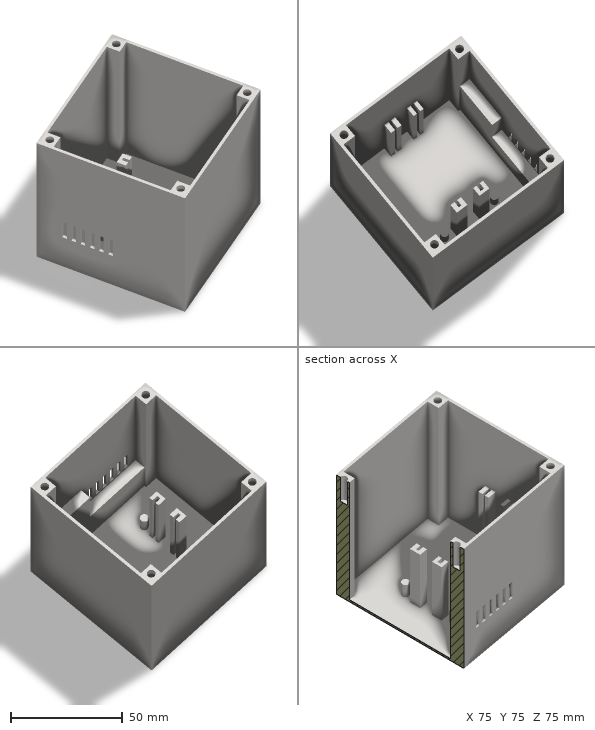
import cadquery as cq

side = 75.0
wall = 1.5
half = side / 2
inner_half = half - wall
floor_top = -inner_half

post_side = 8.0
post_inner = half - post_side
screw_inset = 4.5
screw_diameter = 4.0
screw_depth = 15.0

slot_count = 6
slot_width = 2.3
slot_pitch = 4.65
slot_bottom = -18.3
slot_height = 10.0
first_slot_x = -23.3

holder_top = -2.55
holder_left = -16.9
holder_length = 4.65
holder_back = 1.5
rail_length = 4.9
cards = [(4.6, 6.0, 1.5), (-8.2, 5.6, 1.9)]

ledge_depth = 5.5
ledge_step_x = 6.1
ledge_low_top = -19.6
ledge_high_top = holder_top

pin_diameter = screw_diameter
pin_x = -14.1
pin_centres_y = [12.5, -16.0]
pin_height = 7.5


def block(x_range, y_range, z_range):
    """Box between the given limits along each axis."""
    x_size = x_range[1] - x_range[0]
    y_size = y_range[1] - y_range[0]
    z_size = z_range[1] - z_range[0]
    corner = (x_range[0], y_range[0], z_range[0])
    return cq.Workplane("XY").box(x_size, y_size, z_size, centered=False).translate(corner)


def shell():
    """Outer box with its cavity and corner posts."""
    outer = block((-half, half), (-half, half), (-half, half))
    cavity_height = (floor_top, half)
    cavity_x = block((-inner_half, inner_half), (-post_inner, post_inner), cavity_height)
    cavity_y = block((-post_inner, post_inner), (-inner_half, inner_half), cavity_height)
    return outer.cut(cavity_x).cut(cavity_y)


def screw_holes():
    """Blind holes down from the top of the corner posts."""
    spacing = side - 2 * screw_inset
    return (
        cq.Workplane("XY", origin=(0, 0, half))
        .rect(spacing, spacing, forConstruction=True)
        .vertices()
        .circle(screw_diameter / 2)
        .extrude(-screw_depth)
    )


def vent_slots():
    """Upright slots, cut through the front wall only."""
    slots = cq.Workplane("XY")
    for index in range(slot_count):
        x_centre = first_slot_x + index * slot_pitch
        x_range = (x_centre - slot_width / 2, x_centre + slot_width / 2)
        z_range = (slot_bottom, slot_bottom + slot_height)
        slots = slots.add(block(x_range, (-half, -inner_half), z_range))
    return slots.combine()


def card_holder(y_centre, width, groove):
    """C-shaped holder and rails for one card, with the groove open between them."""
    y_outer = (y_centre - width / 2, y_centre + width / 2)
    y_groove = (y_centre - groove / 2, y_centre + groove / 2)
    z_range = (floor_top, holder_top)
    holder = block((holder_left, holder_left + holder_length), y_outer, z_range)
    rails = block((inner_half - rail_length, inner_half), y_outer, z_range)
    card = block((holder_left + holder_back, inner_half), y_groove, z_range)
    return holder.union(rails).cut(card)


def front_ledge():
    """Two-level ledge between the front corner posts."""
    y_range = (-inner_half, -inner_half + ledge_depth)
    low = block((-post_inner, ledge_step_x), y_range, (floor_top, ledge_low_top))
    high = block((ledge_step_x, post_inner), y_range, (floor_top, ledge_high_top))
    return low.union(high)


def floor_pins():
    """Round pins standing on the floor."""
    centres = [(pin_x, y) for y in pin_centres_y]
    return (
        cq.Workplane("XY", origin=(0, 0, floor_top))
        .pushPoints(centres)
        .circle(pin_diameter / 2)
        .extrude(pin_height)
    )


result = shell().union(front_ledge()).union(floor_pins())
for card_sizes in cards:
    result = result.union(card_holder(*card_sizes))
result = result.cut(screw_holes()).cut(vent_slots())